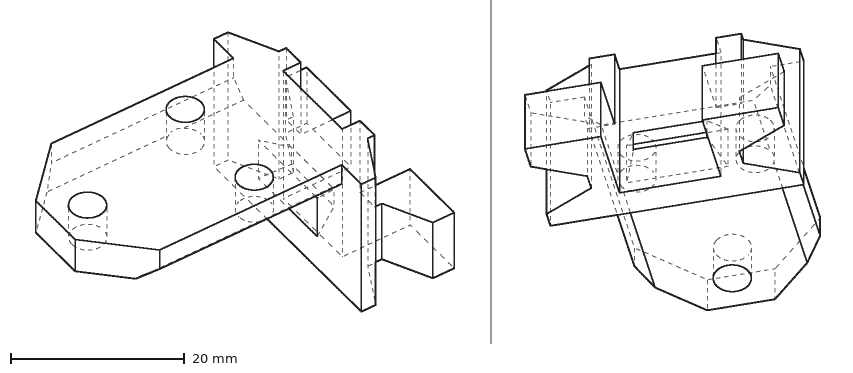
import cadquery as cq

wall_width = 30.0
wall_height = 20.0
wall_depth = 6.0

arm_reach = 13.0
arm_height = 8.75
slot_width = 12.0
slot_floor_y = 3.5

notch_depth = 6.0
notch_center_y = 6.0
notch_floor_length = 2.0
notch_mouth_length = 8.0

plate_width = 22.0
plate_length = 32.5
plate_thickness = 5.0
plate_corner_cut = 7.0
plate_edge_chamfer = 2.0

hole_diameter = 4.4
hole_pair_spacing = 14.0
hole_pair_y = -9.5
front_hole_y = -28.0

window_width = 12.0
window_height = 6.0
window_center_z = 8.0
window_inset = 1.65


def centered_box(width, y_start, y_end, height):
    """Box centred on X = 0 that stands on Z = 0."""
    length = y_end - y_start
    return cq.Workplane("XY").box(width, length, height, centered=(True, False, False)).translate((0, y_start, 0))


def make_wall_and_arms():
    wall = centered_box(wall_width, 0, wall_depth, wall_height)
    arm_block = centered_box(wall_width, 0, arm_reach, arm_height)
    slot = centered_box(slot_width, slot_floor_y, arm_reach, wall_height)
    return wall.union(arm_block).cut(slot)


def make_side_notch(side):
    """Full-height notch cutter; side is +1 or -1 along X."""
    outer_x = side * wall_width / 2
    floor_x = outer_x - side * notch_depth
    outline = [
        (outer_x, notch_center_y - notch_mouth_length / 2),
        (floor_x, notch_center_y - notch_floor_length / 2),
        (floor_x, notch_center_y + notch_floor_length / 2),
        (outer_x, notch_center_y + notch_mouth_length / 2),
    ]
    return cq.Workplane("XY").polyline(outline).close().extrude(wall_height)


def make_plate():
    """Plate with chamfered lower side edges and cut front corners."""
    plate = centered_box(plate_width, -plate_length, 0, plate_thickness)
    plate = plate.edges("|Y and <Z").chamfer(plate_edge_chamfer)

    half_width = plate_width / 2
    corner_y = -plate_length + plate_corner_cut
    for side in (-1, 1):
        corner = [
            (side * half_width, corner_y),
            (side * half_width, -plate_length),
            (side * (half_width - plate_corner_cut), -plate_length),
        ]
        plate = plate.cut(cq.Workplane("XY").polyline(corner).close().extrude(plate_thickness))

    hole_centers = [
        (-hole_pair_spacing / 2, hole_pair_y),
        (hole_pair_spacing / 2, hole_pair_y),
        (0, front_hole_y),
    ]
    holes = cq.Workplane("XY").pushPoints(hole_centers).circle(hole_diameter / 2).extrude(plate_thickness)
    return plate.cut(holes).translate((0, 0, wall_height - plate_thickness))


def make_window():
    """Tapered window cutter through the wall between its front face and the slot."""
    return (
        cq.Workplane("XZ", origin=(0, 0, window_center_z))
        .rect(window_width, window_height)
        .workplane(offset=-slot_floor_y)
        .rect(window_width - 2 * window_inset, window_height - 2 * window_inset)
        .loft(ruled=True)
    )


body = make_wall_and_arms()
for notch_side in (-1, 1):
    body = body.cut(make_side_notch(notch_side))
body = body.cut(make_window())
result = body.union(make_plate())